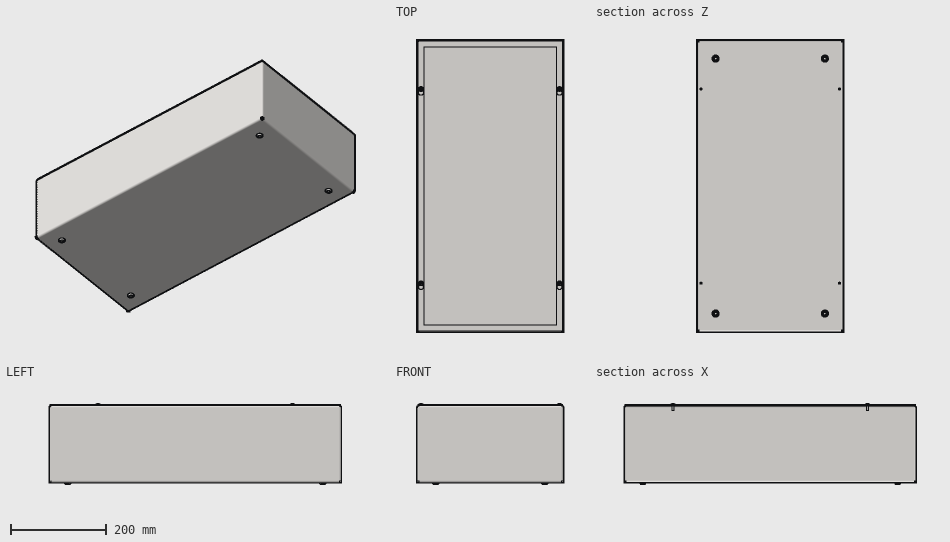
import cadquery as cq
import math

box_width = 307.98
box_length = 612.77
box_height = 162.6
sheet = 1.52
bend_radius = 4.9
flange_width = 15.5

cover_thickness = 1.52
cover_inset = 2.8
cover_corner_radius = 1.5

screw_x = 144.9
screw_y = 203.2
screw_diameter = 4.17
screw_hole_diameter = 4.19
screw_length = 12.0
head_diameter = 9.75
head_height = 2.6
head_rim_height = 0.4
keyhole_entry_diameter = 10.4
keyhole_entry_offset = 7.8
keyhole_slot_width = 5.8
drive_width = 1.0
drive_length = 7.0
drive_depth = 1.0

foot_x = 114.3
foot_y = 266.7
foot_height = 3.3
foot_base_diameter = 14.8
foot_tip_diameter = 8.9

cover_bottom = box_height
cover_top = cover_bottom + cover_thickness
inner_bend_radius = bend_radius - sheet


def mirrored_points(x, y):
    """Four points placed symmetrically about the X and Y axes."""
    return [(sx * x, sy * y) for sx in (-1, 1) for sy in (-1, 1)]


screw_points = mirrored_points(screw_x, screw_y)
foot_points = mirrored_points(foot_x, foot_y)


def wrapped_block(width, length, bottom, height, radius):
    """Block with every edge rounded except the upright seam corner at -X, +Y."""
    block = cq.Workplane("XY").box(width, length, height, centered=(True, True, False))
    block = block.edges("|Z").edges("<Y or >X").fillet(radius)
    block = block.faces("<Z or >Z").edges().fillet(radius)
    return block.translate((0, 0, bottom))


def foot_cone(base_diameter, top, depth, taper):
    """Downward cone whose diameter shrinks by taper over its depth."""
    return (
        cq.Workplane("XY", origin=(0, 0, top))
        .circle(base_diameter / 2)
        .workplane(offset=-depth)
        .circle((base_diameter - taper) / 2)
        .loft()
    )


def make_bend_ends():
    """Ends of the floor bends of two adjoining walls, crossing at the -X, -Y corner."""
    end_along_x = (
        cq.Workplane("YZ")
        .moveTo(bend_radius, 0)
        .radiusArc((0, bend_radius), bend_radius)
        .lineTo(bend_radius, bend_radius)
        .close()
        .extrude(bend_radius)
    )
    quarter_turn = end_along_x.rotate((0, 0, 0), (0, 0, 1), 90)
    end_along_y = quarter_turn.mirror("YZ")
    return end_along_x.union(end_along_y).translate((-box_width / 2, -box_length / 2, 0))


def make_box():
    """Hollow box with crossing floor bends, feet, an open top flange and screw holes."""
    body = wrapped_block(box_width, box_length, 0, box_height, bend_radius)
    bend_ends = make_bend_ends()
    for mirror_planes in [(), ("YZ",), ("XZ",), ("YZ", "XZ")]:
        corner = bend_ends
        for plane in mirror_planes:
            corner = corner.mirror(plane)
        body = body.union(corner)

    foot_taper = foot_base_diameter - foot_tip_diameter
    foot = foot_cone(foot_base_diameter, 0, foot_height, foot_taper)
    dimple = foot_cone(foot_base_diameter - 2 * sheet, sheet, foot_height, foot_taper)
    for x, y in foot_points:
        body = body.union(foot.translate((x, y, 0)))

    cavity = wrapped_block(
        box_width - 2 * sheet, box_length - 2 * sheet, sheet, box_height - 2 * sheet, inner_bend_radius
    )
    opening = (
        cq.Workplane("XY", origin=(0, 0, box_height / 2))
        .rect(box_width - 2 * flange_width, box_length - 2 * flange_width)
        .extrude(box_height / 2)
    )
    body = body.cut(cavity).cut(opening)
    for x, y in foot_points:
        body = body.cut(dimple.translate((x, y, 0)))

    screw_holes = (
        cq.Workplane("XY", origin=(0, 0, box_height - sheet))
        .pushPoints(screw_points)
        .circle(screw_hole_diameter / 2)
        .extrude(sheet)
    )
    return body.cut(screw_holes)


def make_keyhole():
    """Keyhole about the screw axis, its wide entry towards -Y."""
    entry = (
        cq.Workplane("XY", origin=(0, -keyhole_entry_offset, cover_bottom))
        .circle(keyhole_entry_diameter / 2)
        .extrude(cover_thickness)
    )
    neck = (
        cq.Workplane("XY", origin=(0, -keyhole_entry_offset / 2, cover_bottom))
        .rect(keyhole_slot_width, keyhole_entry_offset)
        .extrude(cover_thickness)
    )
    seat = (
        cq.Workplane("XY", origin=(0, 0, cover_bottom))
        .circle(keyhole_slot_width / 2)
        .extrude(cover_thickness)
    )
    return entry.union(neck).union(seat)


def make_cover():
    """Flat plate resting on the flange, with a keyhole at each screw."""
    cover = (
        cq.Workplane("XY", origin=(0, 0, cover_bottom))
        .rect(box_width - 2 * cover_inset, box_length - 2 * cover_inset)
        .extrude(cover_thickness)
        .edges("|Z")
        .fillet(cover_corner_radius)
    )
    keyhole = make_keyhole()
    for x, y in screw_points:
        cover = cover.cut(keyhole.translate((x, y, 0)))
    return cover


def make_screw():
    """Domed screw on the Z axis with a cross-shaped recess in its head."""
    rim_radius = head_diameter / 2
    dome_height = head_height - head_rim_height
    dome_radius = (rim_radius**2 + dome_height**2) / (2 * dome_height)
    half_way_angle = math.asin(rim_radius / dome_radius) / 2
    dome_middle = (
        dome_radius * math.sin(half_way_angle),
        head_height - dome_radius * (1 - math.cos(half_way_angle)),
    )
    head = (
        cq.Workplane("XZ", origin=(0, 0, cover_top))
        .lineTo(rim_radius, 0)
        .lineTo(rim_radius, head_rim_height)
        .threePointArc(dome_middle, (0, head_height))
        .close()
        .revolve(360, (0, 0, 0), (0, 1, 0))
    )
    shank = cq.Workplane("XY", origin=(0, 0, cover_top)).circle(screw_diameter / 2).extrude(-screw_length)
    drive_floor = cq.Workplane("XY", origin=(0, 0, cover_top + head_height - drive_depth))
    for x_size, y_size in [(drive_length, drive_width), (drive_width, drive_length)]:
        head = head.cut(drive_floor.rect(x_size, y_size).extrude(drive_depth))
    return head.union(shank)


box = make_box()
cover = make_cover()
screw = make_screw()
screws = [screw.translate((x, y, 0)) for x, y in screw_points]

result = cq.Compound.makeCompound([box.val(), cover.val(), *[placed.val() for placed in screws]])